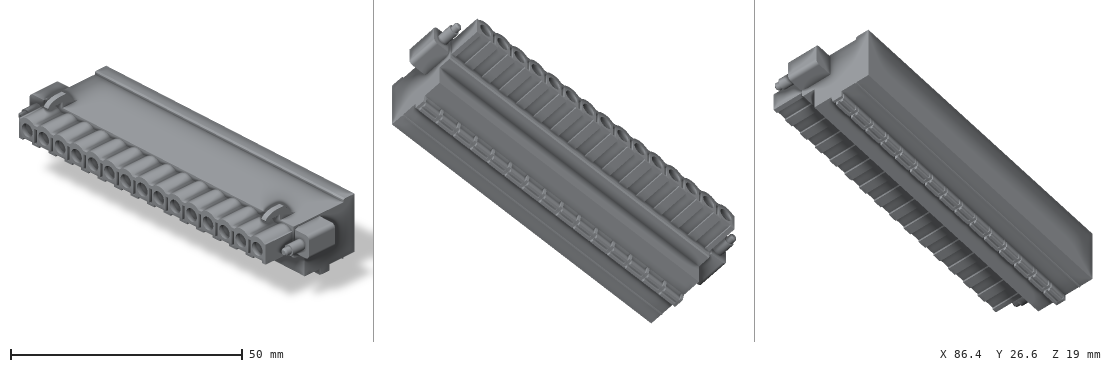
import cadquery as cq
import math


POLE_COUNT = 15
PITCH = 5.08
TERMINAL_ROW_LENGTH = POLE_COUNT * PITCH
CONTACT_AXIS_Z = 10.35
FRONT_Y = -26.6

HOUSING_LENGTH = 76.8
HOUSING_FRONT_Y = -18.45
HOUSING_TOP_Z = 13.75
LEDGE_Y = -15.05
LEDGE_Z = 5.75
LEDGE_CHAMFER = 0.3
LIP_Y = -3.4
LIP_TOP_Z = 14.55
LIP_BEVEL_DEPTH = 0.5
LIP_BEVEL_DROP = 0.2

SLEEVE_BOTTOM_Z = 7.45
SLEEVE_CROWN_RADIUS = 2.95
VALLEY_Z = 12.45
CONTACT_HOLE_DIAMETER = 3.25
CONTACT_HOLE_DEPTH = 1.2
SLOT_WIDTH = 0.8
SLOT_TOP_Z = 11.65
SLOT_DEPTH = 1.0
NOTCH_WIDTH = 2.8
NOTCH_HEIGHT = 0.55

OVERALL_LENGTH = 86.36
FLANGE_BACK_Y = -10.6
FLANGE_TOP_Z = 13.25
FLANGE_BOTTOM_Z = SLEEVE_BOTTOM_Z
FLANGE_EDGE_RADIUS = 1.0
RELIEF_WIDTH = 0.5
RELIEF_DEPTH = 1.4
SCREW_X = 40.7
SCREW_DIAMETER = 2.6
SCREW_SHOULDER_Y = -22.1
SCREW_TIP_DIAMETER = 1.85
SCREW_TIP_Y = -23.7
SCREW_TIP_CHAMFER = 0.35

LATCH_X = 33.65
LATCH_WIDTH = 1.3
OVERALL_HEIGHT = 19.01

FOOT_LENGTH = 4.0
FOOT_BACK_Y = -7.5
FOOT_ROOT_Y = -10.35
FOOT_FACE_Y = -9.7
WEB_TOE_Y = -9.95
FOOT_ROOT_DROP = 0.3
FOOT_HEIGHT = 1.6
WEB_LENGTH = 0.65
RIB_THICKNESS = 0.6
RIB_SPACING = 1.3
RIB_BOTTOM_Z = -2.15
BAR_Y = -3.3
BAR_THICKNESS = 0.3
BAR_HEIGHT = 0.3

LATCH_TOP_Z = OVERALL_HEIGHT + RIB_BOTTOM_Z
POLE_CENTRES = [(i - (POLE_COUNT - 1) / 2) * PITCH for i in range(POLE_COUNT)]
POLE_BOUNDARIES = [(i - POLE_COUNT / 2) * PITCH for i in range(POLE_COUNT + 1)]


def box(x_range, y_range, z_range):
    """Box between two limits on each axis, given in any order."""
    sizes = [abs(b - a) for a, b in (x_range, y_range, z_range)]
    centre = tuple((a + b) / 2 for a, b in (x_range, y_range, z_range))
    return cq.Workplane("XY").box(*sizes).translate(centre)


def side_prism(sketch, centre_x, length):
    """Extrude a closed YZ outline symmetrically about centre_x."""
    return sketch.close().extrude(length / 2, both=True).translate((centre_x, 0, 0))


def cylinder_along_y(x, z, diameter, start_y, end_y):
    """Cylinder running towards -Y from start_y to end_y."""
    plane = cq.Workplane("XZ", origin=(x, start_y, z))
    return plane.circle(diameter / 2).extrude(start_y - end_y)


def make_housing():
    outline = cq.Workplane("YZ").polyline([
        (0, 0),
        (LEDGE_Y, 0),
        (LEDGE_Y, LEDGE_Z),
        (HOUSING_FRONT_Y + LEDGE_CHAMFER, LEDGE_Z),
        (HOUSING_FRONT_Y, LEDGE_Z + LEDGE_CHAMFER),
        (HOUSING_FRONT_Y, HOUSING_TOP_Z),
        (LIP_Y, HOUSING_TOP_Z),
        (LIP_Y, LIP_TOP_Z - LIP_BEVEL_DROP),
        (LIP_Y + LIP_BEVEL_DEPTH, LIP_TOP_Z),
        (0, LIP_TOP_Z),
    ])
    return side_prism(outline, 0, HOUSING_LENGTH)


def make_terminal_row():
    """Row of sleeves with arched tops, blind contact holes, front slots and bottom notches."""
    half_row = TERMINAL_ROW_LENGTH / 2
    y_range = (HOUSING_FRONT_Y, FRONT_Y)
    crown_half_width = math.sqrt(SLEEVE_CROWN_RADIUS ** 2 - (VALLEY_Z - CONTACT_AXIS_Z) ** 2)
    crown_z = CONTACT_AXIS_Z + SLEEVE_CROWN_RADIUS

    outline = cq.Workplane("XZ", origin=(0, HOUSING_FRONT_Y, 0))
    outline = outline.moveTo(-half_row, SLEEVE_BOTTOM_Z).lineTo(-half_row, VALLEY_Z)
    for x in POLE_CENTRES:
        outline = outline.lineTo(x - crown_half_width, VALLEY_Z)
        outline = outline.threePointArc((x, crown_z), (x + crown_half_width, VALLEY_Z))
    outline = outline.lineTo(half_row, VALLEY_Z).lineTo(half_row, SLEEVE_BOTTOM_Z)
    row = outline.close().extrude(HOUSING_FRONT_Y - FRONT_Y)

    notch_top_z = SLEEVE_BOTTOM_Z + NOTCH_HEIGHT
    for x in POLE_CENTRES:
        hole_end_y = FRONT_Y + CONTACT_HOLE_DEPTH
        row = row.cut(cylinder_along_y(x, CONTACT_AXIS_Z, CONTACT_HOLE_DIAMETER, hole_end_y, FRONT_Y))
        notch_x = (x - NOTCH_WIDTH / 2, x + NOTCH_WIDTH / 2)
        row = row.cut(box(notch_x, y_range, (SLEEVE_BOTTOM_Z, notch_top_z)))
    for x in POLE_BOUNDARIES[1:-1]:
        slot_x = (x - SLOT_WIDTH / 2, x + SLOT_WIDTH / 2)
        row = row.cut(box(slot_x, (FRONT_Y, FRONT_Y + SLOT_DEPTH), (notch_top_z, SLOT_TOP_Z)))
    return row


def make_flange():
    """Right-hand screw flange with a tapered relief next to the housing and its stepped screw."""
    inner_x = HOUSING_LENGTH / 2
    outer_x = OVERALL_LENGTH / 2
    y_range = (FLANGE_BACK_Y, HOUSING_FRONT_Y)
    flange = box((inner_x, outer_x), y_range, (FLANGE_BOTTOM_Z, FLANGE_TOP_Z))
    flange = flange.edges("|Y and >X").fillet(FLANGE_EDGE_RADIUS)

    relief = cq.Workplane("XY", origin=(0, 0, FLANGE_BOTTOM_Z)).polyline([
        (inner_x, HOUSING_FRONT_Y),
        (inner_x + RELIEF_WIDTH, HOUSING_FRONT_Y),
        (inner_x, HOUSING_FRONT_Y + RELIEF_DEPTH),
    ]).close().extrude(FLANGE_TOP_Z - FLANGE_BOTTOM_Z)
    flange = flange.cut(relief)

    shank = cylinder_along_y(SCREW_X, CONTACT_AXIS_Z, SCREW_DIAMETER, HOUSING_FRONT_Y, SCREW_SHOULDER_Y)
    tip = cylinder_along_y(SCREW_X, CONTACT_AXIS_Z, SCREW_TIP_DIAMETER, SCREW_SHOULDER_Y, SCREW_TIP_Y)
    tip = tip.faces("<Y").chamfer(SCREW_TIP_CHAMFER)
    return flange.union(shank).union(tip)


def make_latch(centre_x):
    """Hooked latch with a concave root, sloped back, rounded crown and nose; points are (Y, Z)."""
    root_start = (-13.4, HOUSING_TOP_Z)
    root_middle = (-14.2, 13.88)
    ramp_start = (-14.8, 14.2)
    crown_start = (-17.4, LATCH_TOP_Z)
    crown_end = (-19.0, LATCH_TOP_Z)
    crown_middle = (-20.45, 16.7)
    nose_shoulder = (-21.8, 16.25)
    nose_middle = (-22.4, 15.85)
    nose_tip = (-22.85, 15.25)
    hook_front = (-22.1, 14.6)
    hook_back = (-21.65, 14.6)
    hook_root = (-21.3, 15.15)

    outline = cq.Workplane("YZ").moveTo(HOUSING_FRONT_Y, HOUSING_TOP_Z)
    outline = outline.lineTo(*root_start)
    outline = outline.threePointArc(root_middle, ramp_start)
    outline = outline.lineTo(*crown_start).lineTo(*crown_end)
    outline = outline.threePointArc(crown_middle, nose_shoulder)
    outline = outline.threePointArc(nose_middle, nose_tip)
    outline = outline.lineTo(*hook_front).lineTo(*hook_back).lineTo(*hook_root)
    outline = outline.lineTo(HOUSING_FRONT_Y, hook_root[1])
    return side_prism(outline, centre_x, LATCH_WIDTH)


def make_foot(centre_x):
    """Foot below one pole, undercut at the front, with two small ribs underneath."""
    outline = cq.Workplane("YZ").polyline([
        (FOOT_BACK_Y, 0),
        (FOOT_ROOT_Y, 0),
        (FOOT_FACE_Y, -FOOT_ROOT_DROP),
        (FOOT_FACE_Y, -FOOT_HEIGHT),
        (FOOT_BACK_Y, -FOOT_HEIGHT),
    ])
    foot = side_prism(outline, centre_x, FOOT_LENGTH)
    x_range = (centre_x - FOOT_LENGTH / 2, centre_x + FOOT_LENGTH / 2)
    for rib_front_y in (FOOT_FACE_Y, FOOT_FACE_Y + RIB_SPACING):
        rib_y = (rib_front_y, rib_front_y + RIB_THICKNESS)
        foot = foot.union(box(x_range, rib_y, (-FOOT_HEIGHT, RIB_BOTTOM_Z)))
    return foot


def make_webs():
    """Sloped webs in the gaps between the feet; the outermost two end flush with the housing."""
    webs = cq.Workplane("XY")
    half_length = HOUSING_LENGTH / 2
    for x in POLE_BOUNDARIES:
        start_x = max(x - WEB_LENGTH / 2, -half_length)
        end_x = min(x + WEB_LENGTH / 2, half_length)
        outline = cq.Workplane("YZ").polyline([
            (FOOT_BACK_Y, 0),
            (FOOT_ROOT_Y, 0),
            (WEB_TOE_Y, -FOOT_HEIGHT),
            (FOOT_BACK_Y, -FOOT_HEIGHT),
        ])
        webs = webs.add(side_prism(outline, (start_x + end_x) / 2, end_x - start_x))
    return webs.combine()


def make_bottom_bar():
    """Thin bar along the underside near the back."""
    half_length = HOUSING_LENGTH / 2
    return box((-half_length, half_length), (BAR_Y, BAR_Y - BAR_THICKNESS), (-BAR_HEIGHT, 0))


right_flange = make_flange()

result = make_housing().union(make_terminal_row())
result = result.union(right_flange).union(right_flange.mirror("YZ"))
for latch_x in (-LATCH_X, LATCH_X):
    result = result.union(make_latch(latch_x))
for pole_x in POLE_CENTRES:
    result = result.union(make_foot(pole_x))
result = result.union(make_webs()).union(make_bottom_bar())